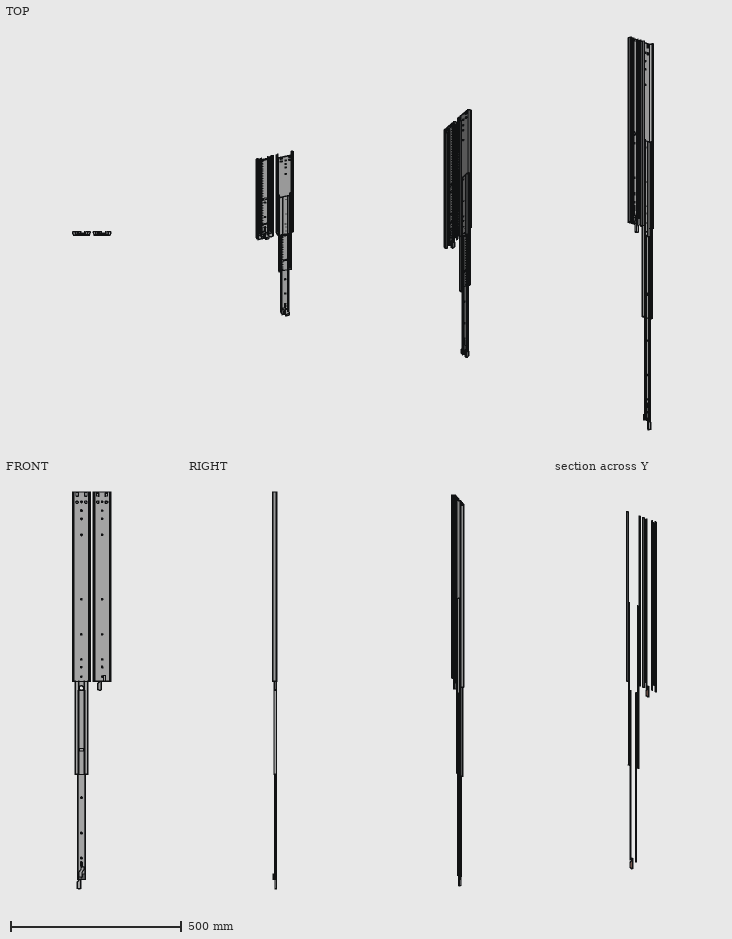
import cadquery as cq


TOTAL_WIDTH = 113.0
TOTAL_HEIGHT = 1168.0
SLIDE_WIDTH = 53.0
SLIDE_OFFSET = (TOTAL_WIDTH - SLIDE_WIDTH) / 2
INNER_TRAVEL = 584.0
MIDDLE_TRAVEL = INNER_TRAVEL / 2

SHEET = 1.4
SHOULDER_DEPTH = 1.8
BOW_MIDDLE = 0.25
OUTER_FRONT = -6.4
OUTER_BACK = 6.4
OUTER_BOW = 3.7
OUTER_OPENING = 40.0
MIDDLE_WIDTH = 39.0
MIDDLE_FRONT = -2.9
MIDDLE_BACK = 6.0
MIDDLE_OPENING = 30.0
INNER_WIDTH = 25.0
INNER_FRONT = -0.6
INNER_BACK = 6.0
INNER_BOW = 2.0
INNER_OPENING = 19.0

OUTER_BOTTOM = 611.0
INNER_BOTTOM = 612.0
MIDDLE_BOTTOM = 629.0
MIDDLE_TOP = 1163.0

SCREW_DIAMETER = 4.4
UPPER_SCREW_HEIGHTS = [1139.0, 1113.0, 1088.0, 1042.0]
LOWER_SCREW_HEIGHTS = [852.0, 749.0, 675.0]
BOTTOM_SCREW_HEIGHTS = [653.0, 625.0]

SIDE_SPACING = 26.0
SIDE_HOLE_DIAMETER = 6.4
SIDE_HOLE_HEIGHT = 1137.0
SLOT_WIDTH = 6.0
SLOT_BOTTOM = 1155.0
SLOT_TOP = 1165.0

GROOVE_WIDTH = 18.0
GROOVE_FLOOR = 14.0
GROOVE_DEPTH = 0.6
ACCESS_DIAMETER = 13.0
ACCESS_HEIGHT = 883.0
WINDOW_WIDTH = 12.0
WINDOW_HEIGHT = 7.0
WINDOW_CENTER = 702.0

RELEASE_SLOT_WIDTH = 4.0
RELEASE_SLOT_LENGTH = 14.0
RELEASE_SLOT_CENTER = 657.0

LEVER_BOTTOM = TOTAL_HEIGHT - INNER_TRAVEL
LEVER_THICKNESS = 0.7
ARM_OUTLINE = [(-7.0, 28.0), (-7.0, 50.0), (1.0, 62.0), (7.0, 58.0), (2.0, 49.0), (2.0, 37.0), (-2.0, 28.0)]
PIVOT_DIAMETER = 10.0
PIVOT_X = 4.0
PIVOT_HEIGHT = 61.0
HANDLE_OUTLINE = [
    (-6.0, 0.0),
    (-1.8, 2.0),
    (-1.8, 35.0),
    (-8.0, 35.0),
    (-8.0, 25.0),
    (-13.0, 21.0),
    (-13.0, 2.0),
]
HANDLE_FRONT = 0.6

TAB_LEFT = 5.0
TAB_RIGHT = 10.0
TAB_FRONT = -5.0
TAB_HEIGHT = 16.0


def box(left, right, front, back, bottom, top):
    """Box given by its six faces."""
    return cq.Workplane("XY").box(right - left, back - front, top - bottom, centered=False).translate(
        (left, front, bottom)
    )


def open_back(rail, back, opening, bottom, top):
    """Cut the mouth in a rail's back, which leaves a lip on each side."""
    return rail.cut(box(-opening / 2, opening / 2, back - 2 * SHEET, back, bottom, top))


def bowed_bar(width, bow, front, back, bottom, top):
    """Upright bar whose sides bulge outwards in an arc up to a shoulder and then slope in to the back."""
    half = width / 2
    flat = half - bow
    shoulder = back - SHOULDER_DEPTH
    arc_x = half - BOW_MIDDLE * bow
    arc_y = (front + shoulder) / 2
    section = (
        cq.Workplane("XY", origin=(0, 0, bottom))
        .moveTo(-flat, front)
        .lineTo(flat, front)
        .threePointArc((arc_x, arc_y), (half, shoulder))
        .lineTo(flat, back)
        .lineTo(-flat, back)
        .lineTo(-half, shoulder)
        .threePointArc((-arc_x, arc_y), (-flat, front))
        .close()
    )
    return section.extrude(top - bottom)


def bowed_rail(width, bow, front, back, opening, bottom, top):
    """Upright C-shaped rail with bowed sides, open to +Y between two lips."""
    shell = bowed_bar(width, bow, front, back, bottom, top)
    inside = bowed_bar(width - 2 * SHEET, bow, front + SHEET, back - SHEET, bottom, top)
    return open_back(shell.cut(inside), back, opening, bottom, top)


def square_rail(width, front, back, opening, bottom, top):
    """Upright C-shaped rail with square corners, open to +Y between two lips."""
    half = width / 2
    shell = box(-half, half, front, back, bottom, top)
    inside = box(-half + SHEET, half - SHEET, front + SHEET, back - SHEET, bottom, top)
    return open_back(shell.cut(inside), back, opening, bottom, top)


def web_holes(diameter, x_positions, heights, front):
    """Cylinders along Y that cut holes through a rail's web."""
    points = [(x, z) for x in x_positions for z in heights]
    plane = cq.Workplane("XZ", origin=(0, front + SHEET, 0))
    return plane.pushPoints(points).circle(diameter / 2).extrude(SHEET)


def outer_rail():
    rail = bowed_rail(
        SLIDE_WIDTH, OUTER_BOW, OUTER_FRONT, OUTER_BACK, OUTER_OPENING, OUTER_BOTTOM, TOTAL_HEIGHT
    )
    screw_heights = UPPER_SCREW_HEIGHTS + LOWER_SCREW_HEIGHTS + BOTTOM_SCREW_HEIGHTS
    sides = [-SIDE_SPACING / 2, SIDE_SPACING / 2]
    rail = rail.cut(web_holes(SCREW_DIAMETER, [0], screw_heights, OUTER_FRONT))
    rail = rail.cut(web_holes(SIDE_HOLE_DIAMETER, sides, [SIDE_HOLE_HEIGHT], OUTER_FRONT))
    for x in sides:
        left = x - SLOT_WIDTH / 2
        slot = box(left, left + SLOT_WIDTH, OUTER_FRONT, OUTER_FRONT + SHEET, SLOT_BOTTOM, SLOT_TOP)
        rail = rail.cut(slot)
    return rail


def middle_rail():
    rail = square_rail(MIDDLE_WIDTH, MIDDLE_FRONT, MIDDLE_BACK, MIDDLE_OPENING, MIDDLE_BOTTOM, MIDDLE_TOP)
    groove_section = [
        (-GROOVE_WIDTH / 2, MIDDLE_FRONT),
        (GROOVE_WIDTH / 2, MIDDLE_FRONT),
        (GROOVE_FLOOR / 2, MIDDLE_FRONT + GROOVE_DEPTH),
        (-GROOVE_FLOOR / 2, MIDDLE_FRONT + GROOVE_DEPTH),
    ]
    base = cq.Workplane("XY", origin=(0, 0, MIDDLE_BOTTOM))
    groove = base.polyline(groove_section).close().extrude(MIDDLE_TOP - MIDDLE_BOTTOM)
    window = box(
        -WINDOW_WIDTH / 2,
        WINDOW_WIDTH / 2,
        MIDDLE_FRONT,
        MIDDLE_FRONT + SHEET,
        WINDOW_CENTER - WINDOW_HEIGHT / 2,
        WINDOW_CENTER + WINDOW_HEIGHT / 2,
    )
    access = web_holes(ACCESS_DIAMETER, [0], [ACCESS_HEIGHT], MIDDLE_FRONT)
    return rail.cut(groove).cut(window).cut(access)


def release_lever():
    """Arm and round pivot head on the front of the inner web, with a handle hanging below the rail."""
    web_plane = cq.Workplane("XZ", origin=(0, INNER_FRONT, LEVER_BOTTOM))
    arm = web_plane.polyline(ARM_OUTLINE).close().extrude(LEVER_THICKNESS)
    head = web_plane.center(PIVOT_X, PIVOT_HEIGHT).circle(PIVOT_DIAMETER / 2).extrude(LEVER_THICKNESS)
    handle_plane = cq.Workplane("XZ", origin=(0, INNER_BACK, LEVER_BOTTOM))
    handle = handle_plane.polyline(HANDLE_OUTLINE).close().extrude(INNER_BACK - HANDLE_FRONT)
    return arm.union(head).union(handle)


def inner_rail():
    rail = bowed_rail(
        INNER_WIDTH, INNER_BOW, INNER_FRONT, INNER_BACK, INNER_OPENING, INNER_BOTTOM, TOTAL_HEIGHT
    )
    rail = rail.cut(web_holes(SCREW_DIAMETER, [0], LOWER_SCREW_HEIGHTS, INNER_FRONT))
    slot_plane = cq.Workplane("XZ", origin=(0, INNER_FRONT + SHEET, RELEASE_SLOT_CENTER))
    rail = rail.cut(slot_plane.slot2D(RELEASE_SLOT_LENGTH, RELEASE_SLOT_WIDTH, 90).extrude(SHEET))
    tab = box(TAB_LEFT, TAB_RIGHT, TAB_FRONT, INNER_FRONT + SHEET, INNER_BOTTOM, INNER_BOTTOM + TAB_HEIGHT)
    return rail.union(tab).union(release_lever())


outer_rails = []
middle_rails = []
inner_rails = []
for x, extension in [(-SLIDE_OFFSET, 1), (SLIDE_OFFSET, 0)]:
    outer_rails.append(outer_rail().translate((x, 0, 0)).val())
    middle_rails.append(middle_rail().translate((x, 0, -extension * MIDDLE_TRAVEL)).val())
    inner_rails.append(inner_rail().translate((x, 0, -extension * INNER_TRAVEL)).val())

result = cq.Compound.makeCompound([*outer_rails, *middle_rails, *inner_rails])